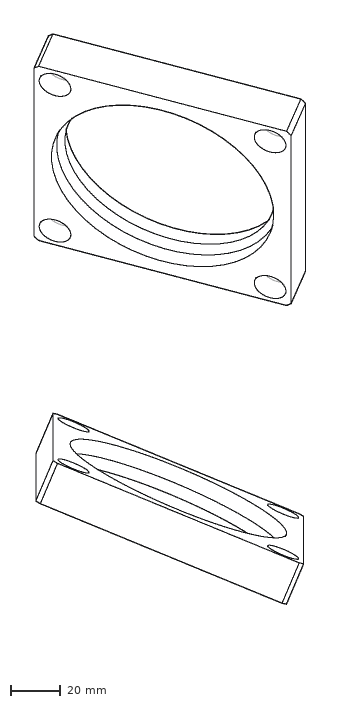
import cadquery as cq

side = 110.0
thickness = 18.0
corner_chamfer = 2.0

bore_radius = 47.5
bead_radius = 2.5

hole_diameter = 13.5
hole_spacing = 92.0


def make_plate():
    plate = cq.Workplane("XY").box(side, thickness, side)
    return plate.edges("|Y").chamfer(corner_chamfer)


def make_bore_cutter():
    """Revolve the bore's half-section, notched by the bead, around the Y axis."""
    half_thickness = thickness / 2
    return (
        cq.Workplane("XY")
        .moveTo(0, -half_thickness)
        .lineTo(bore_radius, -half_thickness)
        .lineTo(bore_radius, -bead_radius)
        .threePointArc((bore_radius - bead_radius, 0), (bore_radius, bead_radius))
        .lineTo(bore_radius, half_thickness)
        .lineTo(0, half_thickness)
        .close()
        .revolve(360, (0, 0, 0), (0, 1, 0))
    )


def make_mounting_hole_cutters():
    return (
        cq.Workplane("XZ")
        .rarray(hole_spacing, hole_spacing, 2, 2)
        .circle(hole_diameter / 2)
        .extrude(thickness, both=True)
    )


result = make_plate().cut(make_bore_cutter()).cut(make_mounting_hole_cutters())